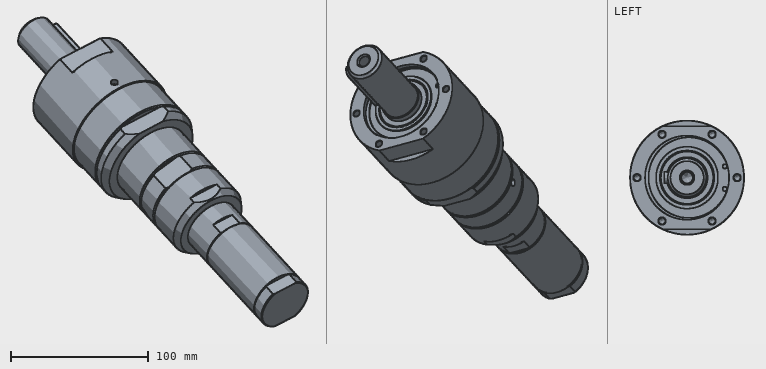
import cadquery as cq
import math

LENGTH = 322.0
EDGE_BREAK = 1.0
REAR_EDGE_BREAK = 0.5
DRILL_TIP_ANGLE = 118.0
NUT_CHAMFER_ANGLE = 30.0

SHAFT_DIA = 28.0
SHAFT_TIP_CHAMFER = 2.0
COLLAR_DIA = 30.0
COLLAR_START = 59.5
CENTRE_HOLE_DIA = 8.5
CENTRE_HOLE_MOUTH_DIA = 10.5
CENTRE_HOLE_DEPTH = 19.3

KEY_START = 4.8
KEY_END = 54.7
KEY_WIDTH = 8.5
KEY_TOP = 16.7

FLANGE_DIA = 83.0
FLANGE_START = 61.0
FLANGE_FLAT_END = 76.5
FLANGE_FLAT_WIDTH = 75.0
HOUSING_DIA = 80.5
HOUSING_START = 111.0
BOLT_COUNT = 6
BOLT_CIRCLE_RADIUS = 36.5
BOLT_HOLE_DIA = 4.8
BOLT_HOLE_MOUTH_DIA = 5.5
BOLT_HOLE_DEPTH = 9.5

RECESS_DIA = 61.2
RECESS_DEPTH = 3.5
RING_BORE_DIA = 58.5
RING_BORE_OFFSET = 1.3
RING_THICKNESS = 1.0
SEAL_DIA = 45.0
SEAL_HEIGHT = 1.3
SEAL_GROOVE_OUTER_DIA = 39.5
SEAL_GROOVE_INNER_DIA = 38.0
SEAL_GROOVE_DEPTH = 1.0
RING_HOLE_DIA = 3.2
RING_HOLE_RADIUS = 28.5
RING_HOLE_ANGLE = 16.6
RING_HOLE_DEPTH = 1.5

NUT_START = 138.8
NUT_END = 151.5
NUT_FLAT_WIDTH = 71.0
NUT_CHAMFER_LENGTH = 5.8

SLEEVE_DIA = 60.0
ADJUSTER_START = 180.5
ADJUSTER_END = 197.7
ADJUSTER_FLAT_HEIGHT = 27.5
ADJUSTER_FLAT_ANGLE = 15.0
REAR_NUT_START = 218.0
REAR_NUT_END = 228.0
REAR_NUT_FLAT_WIDTH = 55.0
REAR_NUT_CHAMFER_LENGTH = 5.0

REAR_DIA = 41.5
REAR_FLAT_START = 242.5
REAR_FLAT_END = 252.0
REAR_FLAT_WIDTH = 38.0
TAIL_START = 312.0
TAIL_FLAT_WIDTH = 36.0

SCREW_HOLE_DIA = 5.0
SCREW_HOLE_DEPTH = 4.8
SCREW_SOCKET_DIA = 2.5
SCREW_SOCKET_DEPTH = 2.5
FLANGE_SCREW_X = 104.5
ADJUSTER_SCREW_X = 184.2


def cylinder(start, end, diameter):
    return cq.Workplane("YZ", origin=(start, 0, 0)).circle(diameter / 2).extrude(end - start)


def drill(x, y, z, diameter, mouth_diameter, depth):
    """Drilled hole along +X with a 45 degree countersunk mouth and a conical bottom."""
    radius = diameter / 2
    mouth_radius = mouth_diameter / 2
    countersink = mouth_radius - radius
    tip = radius / math.tan(math.radians(DRILL_TIP_ANGLE / 2))
    profile = [(0, 0), (0, mouth_radius), (countersink, radius), (depth, radius), (depth + tip, 0)]
    tool = cq.Workplane("XY").polyline(profile).close().revolve(360, (0, 0, 0), (1, 0, 0))
    return tool.translate((x, y, z))


def flats(start, end, width):
    """Material outside two parallel flats facing +Z and -Z."""
    blank = cylinder(start, end, 2 * FLANGE_DIA)
    slab = cq.Workplane("XY").box(end - start, 4 * FLANGE_DIA, width)
    slab = slab.translate(((start + end) / 2, 0, 0))
    return blank.cut(slab)


def chamfered_nut(start, end, diameter, chamfer_length):
    chamfer_drop = chamfer_length * math.tan(math.radians(NUT_CHAMFER_ANGLE))
    return cylinder(start, end, diameter).faces(">X").chamfer(chamfer_length, chamfer_drop)


def v_groove(x, diameter):
    radius = diameter / 2
    profile = [(x - EDGE_BREAK, radius), (x, radius - EDGE_BREAK), (x + EDGE_BREAK, radius)]
    return cq.Workplane("XY").polyline(profile).close().revolve(360, (0, 0, 0), (1, 0, 0))


def screw_hole(x, surface_radius):
    """Hole from the +Z side, with a smaller socket in its floor."""
    floor = surface_radius - SCREW_HOLE_DEPTH
    top = cq.Workplane("XY", origin=(x, 0, floor))
    hole = top.circle(SCREW_HOLE_DIA / 2).extrude(2 * SCREW_HOLE_DEPTH)
    return hole.union(top.circle(SCREW_SOCKET_DIA / 2).extrude(-SCREW_SOCKET_DEPTH))


def drive_shaft():
    shaft = cylinder(0, HOUSING_START, SHAFT_DIA).faces("<X").chamfer(SHAFT_TIP_CHAMFER)
    shaft = shaft.union(cylinder(COLLAR_START, HOUSING_START, COLLAR_DIA))
    key = (
        cq.Workplane("XZ")
        .center((KEY_START + KEY_END) / 2, 0)
        .slot2D(KEY_END - KEY_START, KEY_WIDTH)
        .extrude(-KEY_TOP)
    )
    centre_hole = drill(0, 0, 0, CENTRE_HOLE_DIA, CENTRE_HOLE_MOUTH_DIA, CENTRE_HOLE_DEPTH)
    return shaft.union(key).cut(centre_hole)


def flange():
    body = cylinder(FLANGE_START, HOUSING_START, FLANGE_DIA)
    body = body.cut(flats(FLANGE_START, FLANGE_FLAT_END, FLANGE_FLAT_WIDTH))
    for index in range(BOLT_COUNT):
        angle = 2 * math.pi * index / BOLT_COUNT
        y = BOLT_CIRCLE_RADIUS * math.cos(angle)
        z = BOLT_CIRCLE_RADIUS * math.sin(angle)
        hole = drill(FLANGE_START, y, z, BOLT_HOLE_DIA, BOLT_HOLE_MOUTH_DIA, BOLT_HOLE_DEPTH)
        body = body.cut(hole)
    return body.cut(screw_hole(FLANGE_SCREW_X, FLANGE_DIA / 2))


def flange_recess():
    """Everything removed from the flange face around the shaft."""
    ring_face = FLANGE_START + RECESS_DEPTH
    floor = ring_face + RING_THICKNESS
    seal_face = floor - SEAL_HEIGHT
    ring_bore = cylinder(ring_face, floor, RING_BORE_DIA).translate((0, -RING_BORE_OFFSET, 0))
    recess = cylinder(FLANGE_START, ring_face, RECESS_DIA).union(ring_bore)
    recess = recess.cut(cylinder(seal_face, floor, SEAL_DIA))
    seal_groove = cylinder(seal_face, seal_face + SEAL_GROOVE_DEPTH, SEAL_GROOVE_OUTER_DIA)
    seal_groove = seal_groove.cut(cylinder(seal_face, LENGTH, SEAL_GROOVE_INNER_DIA))
    recess = recess.union(seal_groove)
    for side in (-1, 1):
        angle = math.radians(RING_HOLE_ANGLE)
        hole = cylinder(ring_face, floor + RING_HOLE_DEPTH, RING_HOLE_DIA)
        y = -RING_HOLE_RADIUS * math.cos(angle)
        z = side * RING_HOLE_RADIUS * math.sin(angle)
        recess = recess.union(hole.translate((0, y, z)))
    return recess


def housing_and_nut():
    body = cylinder(HOUSING_START, NUT_START, HOUSING_DIA)
    nut = chamfered_nut(NUT_START, NUT_END, HOUSING_DIA, NUT_CHAMFER_LENGTH)
    nut = nut.cut(flats(NUT_START, NUT_END, NUT_FLAT_WIDTH))
    return body.union(nut).cut(v_groove(NUT_START, HOUSING_DIA))


def sleeve():
    body = cylinder(NUT_END, REAR_NUT_START, SLEEVE_DIA)
    flat_cut = cq.Workplane("XY", origin=((ADJUSTER_START + ADJUSTER_END) / 2, 0, ADJUSTER_FLAT_HEIGHT))
    flat_cut = flat_cut.rect(ADJUSTER_END - ADJUSTER_START, SLEEVE_DIA).extrude(SLEEVE_DIA)
    body = body.cut(flat_cut.rotate((0, 0, 0), (1, 0, 0), ADJUSTER_FLAT_ANGLE))
    for x in (ADJUSTER_START, ADJUSTER_END):
        body = body.cut(v_groove(x, SLEEVE_DIA))
    side_screw = screw_hole(ADJUSTER_SCREW_X, SLEEVE_DIA / 2)
    body = body.cut(side_screw.rotate((0, 0, 0), (1, 0, 0), 90 + ADJUSTER_FLAT_ANGLE))
    nut = chamfered_nut(REAR_NUT_START, REAR_NUT_END, SLEEVE_DIA, REAR_NUT_CHAMFER_LENGTH)
    return body.union(nut.cut(flats(REAR_NUT_START, REAR_NUT_END, REAR_NUT_FLAT_WIDTH)))


def rear_spindle():
    neck = cylinder(REAR_NUT_END, REAR_FLAT_END, REAR_DIA)
    neck = neck.cut(flats(REAR_FLAT_START, REAR_FLAT_END, REAR_FLAT_WIDTH))
    barrel = cylinder(REAR_FLAT_END, TAIL_START, REAR_DIA).faces("<X").chamfer(REAR_EDGE_BREAK)
    tail = cylinder(TAIL_START, LENGTH, REAR_DIA).faces("<X or >X").chamfer(REAR_EDGE_BREAK)
    tail = tail.cut(flats(TAIL_START, LENGTH, TAIL_FLAT_WIDTH))
    return neck.union(barrel).union(tail)


result = (
    flange()
    .cut(flange_recess())
    .union(housing_and_nut())
    .union(sleeve())
    .union(rear_spindle())
    .union(drive_shaft())
)